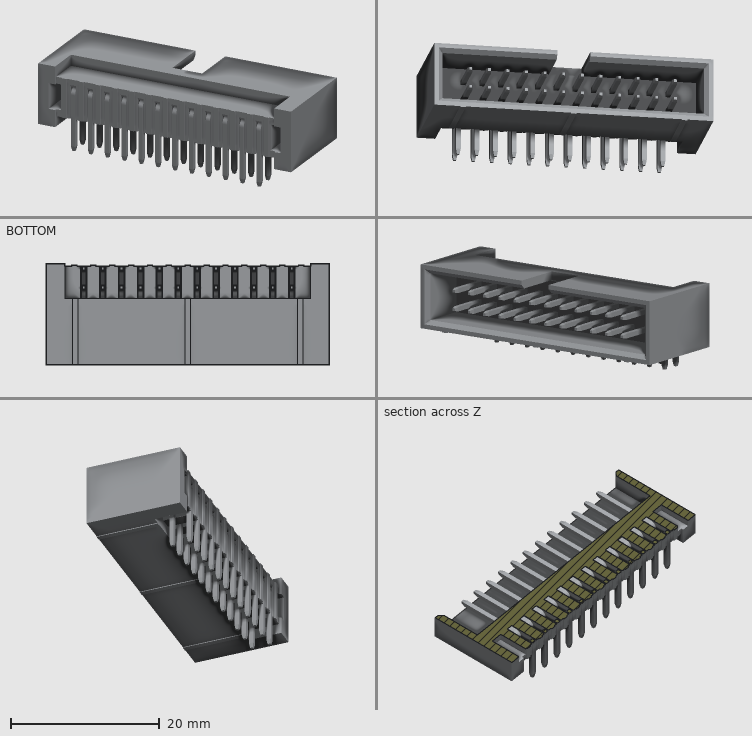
import cadquery as cq


length = 38.1
pins_per_row = 12
pitch = length / (pins_per_row + 3)
pin_side = 0.65
pin_tip_side = 0.4
pin_taper = 0.7
bend_radius = 1.0
tail_length = 3.15

depth = 13.6
height = 8.8
wall = 1.2
end_wall = pitch

cavity_depth = 6.5
mouth_chamfer = 0.57
key_width = 4.5
key_depth = 6.85
pin_end_gap = 0.57

recess_depth = 4.72
comb_bottom = 1.5
comb_top = height - 1.6
comb_setback = 0.35
rib_width = 0.72
rib_height = 0.15
slot_width = 0.88
slot_clearance = 0.1
lead_in_height = 0.25
lead_in_depth = 0.1

pocket_width = 1.68
pocket_inset = 1.55
pocket_bottom = 2.48
pocket_height = 3.75

pad_width = 0.72
pad_spacing = 15.13
pad_height = 0.1

pin_xs = [(i - (pins_per_row - 1) / 2) * pitch for i in range(pins_per_row)]
rib_xs = [(i - pins_per_row / 2) * pitch for i in range(pins_per_row + 1)]
pad_xs = [-pad_spacing, 0, pad_spacing]

upper_row = (comb_setback + pin_side / 2, (height + pitch) / 2)
lower_row = (upper_row[0] + pitch, (height - pitch) / 2)


def block(width, y_range, z_range, x=0.0):
    """Box centred on x, filling the given Y and Z ranges."""
    size_y = y_range[1] - y_range[0]
    size_z = z_range[1] - z_range[0]
    return cq.Workplane("XY").box(width, size_y, size_z, centered=(True, False, False)).translate(
        (x, y_range[0], z_range[0])
    )


def make_shroud():
    """Box with the mating cavity, its flared mouth, the key notch and the rear recess."""
    cavity = block(length - 2 * wall, (depth - cavity_depth, depth), (wall, height - wall))
    flare = (
        cq.Workplane("XZ", origin=(0, depth, height / 2))
        .rect(length - 2 * (wall - mouth_chamfer), height - 2 * (wall - mouth_chamfer))
        .workplane(offset=mouth_chamfer)
        .rect(length - 2 * wall, height - 2 * wall)
        .loft(ruled=True)
    )
    key_notch = block(key_width, (depth - key_depth, depth), (height - wall, height))
    recess = block(length - 2 * end_wall, (0, recess_depth), (0, height))
    shroud = block(length, (0, depth), (0, height))
    return shroud.cut(cavity).cut(flare).cut(key_notch).cut(recess)


def add_comb(body):
    """Comb block in the recess: ribs between the pins, a slot with a bevelled top around each pin."""
    body = body.union(
        block(length - 2 * end_wall, (comb_setback, recess_depth), (comb_bottom, comb_top))
    )
    for x in rib_xs:
        rib_range = (comb_setback - rib_height, recess_depth)
        body = body.union(block(rib_width, rib_range, (comb_bottom, comb_top), x))
    slot_top = upper_row[1] + pin_side / 2 + slot_clearance
    for x in pin_xs:
        slot = block(slot_width, (comb_setback, recess_depth), (comb_bottom, slot_top), x)
        lead_in = (
            cq.Workplane("YZ", origin=(x - slot_width / 2, comb_setback, slot_top))
            .polyline([(0, 0), (lead_in_depth, 0), (0, lead_in_height)])
            .close()
            .extrude(slot_width)
        )
        body = body.cut(slot).cut(lead_in)
    return body


def cut_pockets(body):
    """Rectangular pockets across the joints of the comb block and the end walls."""
    pocket_x = length / 2 - pocket_inset - pocket_width / 2
    pocket_range = (pocket_bottom, pocket_bottom + pocket_height)
    for x in (-pocket_x, pocket_x):
        body = body.cut(block(pocket_width, (0, recess_depth), pocket_range, x))
    return body


def add_pads(body):
    """Thin standoff pads running along the underside from the recess to the mating face."""
    for x in pad_xs:
        body = body.union(block(pad_width, (recess_depth, depth), (-pad_height, wall / 2), x))
    return body


def pin_tip(x, y, z, direction):
    """Square taper that continues a pin from (x, y, z) in the given direction."""
    plane = cq.Plane(origin=(x, y, z), xDir=(1, 0, 0), normal=direction)
    return (
        cq.Workplane(plane)
        .rect(pin_side, pin_side)
        .workplane(offset=pin_taper)
        .rect(pin_tip_side, pin_tip_side)
        .loft(ruled=True)
    )


def make_pin(x, tail_y, mating_z):
    """Square pin: mating leg along Y, rounded bend, solder tail down along Z, both ends tapered."""
    half = pin_side / 2
    outer_y = tail_y - half
    inner_y = tail_y + half
    top_z = mating_z + half
    under_z = mating_z - half
    leg_end = depth - pin_end_gap - pin_taper
    tail_end = pin_taper - tail_length
    bend_y = outer_y + bend_radius
    bend_z = top_z - bend_radius
    inner_radius = bend_radius - pin_side
    shank = (
        cq.Workplane("YZ", origin=(x - half, 0, 0))
        .moveTo(outer_y, tail_end)
        .lineTo(outer_y, bend_z)
        .radiusArc((bend_y, top_z), bend_radius)
        .lineTo(leg_end, top_z)
        .lineTo(leg_end, under_z)
        .lineTo(bend_y, under_z)
        .radiusArc((inner_y, bend_z), -inner_radius)
        .lineTo(inner_y, tail_end)
        .close()
        .extrude(pin_side)
    )
    mating_tip = pin_tip(x, leg_end, mating_z, (0, 1, 0))
    tail_tip = pin_tip(x, tail_y, tail_end, (0, 0, -1))
    return shank.union(mating_tip).union(tail_tip)


def add_pins(body):
    """Both rows of pins, passing through the wall between comb block and cavity."""
    for tail_y, mating_z in (upper_row, lower_row):
        for x in pin_xs:
            body = body.union(make_pin(x, tail_y, mating_z))
    return body


result = add_pins(add_pads(cut_pockets(add_comb(make_shroud()))))